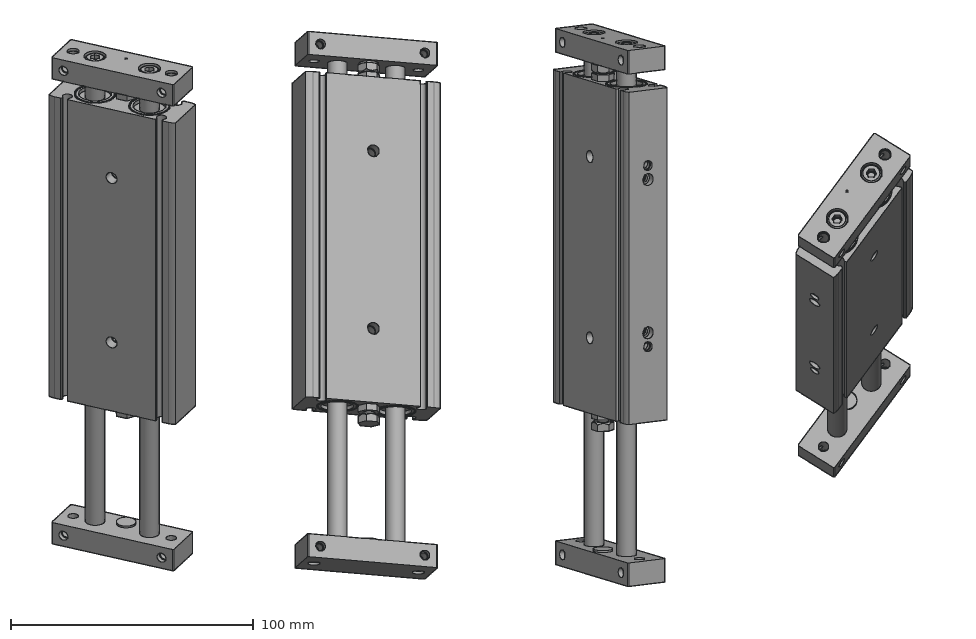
import cadquery as cq
import math

TOTAL_LENGTH = 225.0
PLATE_THICKNESS = 10.0
TOP_GAP = 7.5
HOUSING_LENGTH = 139.5

TOP_PLATE_Z = TOTAL_LENGTH - PLATE_THICKNESS
HOUSING_TOP_Z = TOP_PLATE_Z - TOP_GAP
HOUSING_BOTTOM_Z = HOUSING_TOP_Z - HOUSING_LENGTH
HOUSING_MID_Z = (HOUSING_TOP_Z + HOUSING_BOTTOM_Z) / 2

ROD_DIAMETER = 8.0
ROD_SPACING = 25.0
ROD_X = ROD_SPACING / 2
SCREW_SHANK_DIAMETER = 5.0
SCREW_HEAD_DIAMETER = 8.0
SCREW_HEAD_TOP_DIAMETER = 7.0
SCREW_HEAD_HEIGHT = 4.0
SCREW_HEAD_SUNK = 0.5
SOCKET_FLATS = 3.5
SOCKET_DEPTH = 2.0
SOCKET_DRILL_DIAMETER = 3.2
SOCKET_DRILL_DEPTH = 1.0
COUNTERBORE_DIAMETER = 9.0
COUNTERBORE_DEPTH = SCREW_HEAD_HEIGHT + SCREW_HEAD_SUNK

HOUSING_WIDTH = 58.0
HOUSING_DEPTH = 20.0
CORNER_WIDTH = 3.0
CORNER_DROP = 0.7
GROOVE_X = 21.5
GROOVE_WIDTH = 2.7
GROOVE_BORE_DIAMETER = 4.0
GROOVE_DEPTH = 4.7
GROOVE_LIP_CHAMFER = 0.5
ROD_RECESS_DIAMETER = 13.5
ROD_RECESS_DEPTH = 1.5
END_RING_OUTER_DIAMETER = 17.0
END_RING_INNER_DIAMETER = 16.0
END_RING_DEPTH = 0.5
MOUNT_HOLE_SPACING = 76.0
MOUNT_THREAD_DIAMETER = 5.0
MOUNT_CORE_DIAMETER = 4.3
MOUNT_THREAD_DEPTH = 5.0
PORT_OFFSET = 32.2
PORT_DIAMETER = 5.0
PORT_CORE_DIAMETER = 3.2
PORT_DEPTH = 3.0
PORT_CORE_DEPTH = 1.4
PORT_TIP_DIAMETER = 2.0
PORT_TIP_DEPTH = 1.1
SIDE_HOLE_DIAMETER = 4.0
SIDE_HOLE_DEPTH = 1.4
SIDE_HOLE_CORE_DIAMETER = 3.2
SIDE_HOLE_CORE_DEPTH = 3.0

PLATE_WIDTH = 56.0
PLATE_DEPTH = 18.2
PLATE_CHAMFER = 0.5
PLATE_HOLE_X = 22.5
CROSS_HOLE_DIAMETER = 4.0
CROSS_HOLE_CORE_DIAMETER = 3.2
CROSS_HOLE_MOUTH_DEPTH = 2.2
END_HOLE_DIAMETER = 5.0
END_HOLE_CORE_DIAMETER = 4.3
END_HOLE_MOUTH_DEPTH = 1.1
BUMPER_DIAMETER = 8.0
BUMPER_HEIGHT = 0.79
VENT_DIAMETER = 1.0

BOLT_Y = 3.5
BOLT_FLATS = 8.0
BOLT_SHANK_DIAMETER = 5.0
BOLT_EMBEDMENT = 9.0
NUT_HEIGHT = 2.7
HEAD_HEIGHT = 3.5
HEAD_SEAT_DIAMETER = 7.5
BOTTOM_BOLT_REACH = 7.5
TOP_BOLT_REACH = TOP_GAP - BUMPER_HEIGHT


def cylinder_z(diameter, height, x, y, z):
    return cq.Workplane("XY", origin=(x, y, z)).circle(diameter / 2).extrude(height)


def cylinder_y(diameter, length, x, y, z):
    return cq.Workplane("XZ", origin=(x, y, z)).circle(diameter / 2).extrude(-length)


def cylinder_x(diameter, length, x, y, z):
    return cq.Workplane("YZ", origin=(x, y, z)).circle(diameter / 2).extrude(length)


def hexagon_z(flats, height, x, y, z):
    """Hexagonal prism with two corners on the X axis."""
    corners = flats / math.cos(math.pi / 6)
    return cq.Workplane("XY", origin=(x, y, z)).polygon(6, corners).extrude(height)


def mirror_ends(body):
    """Copy of a housing-centred body, flipped end for end."""
    return body.mirror("XY", (0, 0, HOUSING_MID_Z))


def housing_profile():
    half_x = HOUSING_WIDTH / 2
    half_y = HOUSING_DEPTH / 2
    flat_x = half_x - CORNER_WIDTH
    side_y = half_y - CORNER_DROP
    radius = (CORNER_WIDTH**2 + CORNER_DROP**2) / (2 * CORNER_DROP)
    half_angle = math.asin(CORNER_WIDTH / radius) / 2
    mid_x = flat_x + radius * math.sin(half_angle)
    mid_y = half_y - radius * (1 - math.cos(half_angle))
    return (
        cq.Workplane("XY", origin=(0, 0, HOUSING_BOTTOM_Z))
        .moveTo(-flat_x, -half_y)
        .lineTo(flat_x, -half_y)
        .threePointArc((mid_x, -mid_y), (half_x, -side_y))
        .lineTo(half_x, side_y)
        .threePointArc((mid_x, mid_y), (flat_x, half_y))
        .lineTo(-flat_x, half_y)
        .threePointArc((-mid_x, mid_y), (-half_x, side_y))
        .lineTo(-half_x, -side_y)
        .threePointArc((-mid_x, -mid_y), (-flat_x, -half_y))
        .close()
    )


def sensor_groove(end, side):
    """Keyhole-shaped groove along the whole housing, near X = end and on the Y = side face."""
    face_y = side * HOUSING_DEPTH / 2
    bore_radius = GROOVE_BORE_DIAMETER / 2
    bore_y = face_y - side * (GROOVE_DEPTH - bore_radius)
    lip_y = face_y - side * GROOVE_LIP_CHAMFER
    inner_x = end * (GROOVE_X - GROOVE_WIDTH / 2)
    outer_x = end * (GROOVE_X + GROOVE_WIDTH / 2)
    mouth = (
        cq.Workplane("XY", origin=(0, 0, HOUSING_BOTTOM_Z))
        .moveTo(inner_x, face_y)
        .lineTo(inner_x, bore_y)
        .lineTo(outer_x, bore_y)
        .lineTo(outer_x, lip_y)
        .lineTo(outer_x + end * GROOVE_LIP_CHAMFER, face_y)
        .close()
        .extrude(HOUSING_LENGTH)
    )
    bore = cylinder_z(
        GROOVE_BORE_DIAMETER, HOUSING_LENGTH, end * GROOVE_X, bore_y, HOUSING_BOTTOM_Z
    )
    return mouth.union(bore)


def rod_end_recess(x):
    """Recess around a rod and the ring groove around it, at the top end of the housing."""
    recess_z = HOUSING_TOP_Z - ROD_RECESS_DEPTH
    ring_z = HOUSING_TOP_Z - END_RING_DEPTH
    recess = cylinder_z(ROD_RECESS_DIAMETER, ROD_RECESS_DEPTH, x, 0, recess_z)
    ring = cylinder_z(END_RING_OUTER_DIAMETER, END_RING_DEPTH, x, 0, ring_z).cut(
        cylinder_z(END_RING_INNER_DIAMETER, END_RING_DEPTH, x, 0, ring_z)
    )
    return recess.union(ring)


def mount_hole(z):
    """Through hole along Y with a wider thread at both mouths."""
    half_y = HOUSING_DEPTH / 2
    hole = cylinder_y(MOUNT_CORE_DIAMETER, HOUSING_DEPTH, 0, -half_y, z)
    for mouth_y in (-half_y, half_y - MOUNT_THREAD_DEPTH):
        hole = hole.union(cylinder_y(MOUNT_THREAD_DIAMETER, MOUNT_THREAD_DEPTH, 0, mouth_y, z))
    return hole


def air_port(z):
    """Stepped blind port in the -X side, ending in a cone."""
    side_x = -HOUSING_WIDTH / 2
    core_x = side_x + PORT_DEPTH
    tip_base = cq.Vector(core_x + PORT_CORE_DEPTH, 0, z)
    mouth = cylinder_x(PORT_DIAMETER, PORT_DEPTH, side_x, 0, z)
    core = cylinder_x(PORT_CORE_DIAMETER, PORT_CORE_DEPTH, core_x, 0, z)
    tip = cq.Solid.makeCone(
        PORT_TIP_DIAMETER / 2, 0, PORT_TIP_DEPTH, tip_base, cq.Vector(1, 0, 0)
    )
    return mouth.union(core).union(cq.Workplane(tip))


def side_hole(z):
    """Stepped blind hole in the -X side."""
    side_x = -HOUSING_WIDTH / 2
    mouth = cylinder_x(SIDE_HOLE_DIAMETER, SIDE_HOLE_DEPTH, side_x, 0, z)
    return mouth.union(cylinder_x(SIDE_HOLE_CORE_DIAMETER, SIDE_HOLE_CORE_DEPTH, side_x, 0, z))


def build_housing():
    housing = housing_profile().extrude(HOUSING_LENGTH)

    for end in (-1, 1):
        for side in (-1, 1):
            housing = housing.cut(sensor_groove(end, side))

    for x in (-ROD_X, ROD_X):
        recess = rod_end_recess(x)
        housing = housing.cut(recess).cut(mirror_ends(recess))
        housing = housing.cut(cylinder_z(ROD_DIAMETER, HOUSING_LENGTH, x, 0, HOUSING_BOTTOM_Z))

    bolt_hole = cylinder_z(
        BOLT_SHANK_DIAMETER, BOLT_EMBEDMENT, 0, BOLT_Y, HOUSING_TOP_Z - BOLT_EMBEDMENT
    )
    housing = housing.cut(bolt_hole).cut(mirror_ends(bolt_hole))

    for direction in (-1, 1):
        hole_z = HOUSING_MID_Z + direction * MOUNT_HOLE_SPACING / 2
        port_z = HOUSING_MID_Z + direction * PORT_OFFSET
        housing = housing.cut(mount_hole(hole_z)).cut(side_hole(hole_z)).cut(air_port(port_z))
    return housing


def build_plate():
    """End plate with its outer face at Z = PLATE_THICKNESS and its inner face at Z = 0."""
    plate = (
        cq.Workplane("XY")
        .rect(PLATE_WIDTH, PLATE_DEPTH)
        .extrude(PLATE_THICKNESS)
        .edges("|Z")
        .chamfer(PLATE_CHAMFER)
    )
    half_y = PLATE_DEPTH / 2
    mid_z = PLATE_THICKNESS / 2
    end_mouth_z = PLATE_THICKNESS - END_HOLE_MOUTH_DEPTH
    for x in (-PLATE_HOLE_X, PLATE_HOLE_X):
        plate = plate.cut(cylinder_z(END_HOLE_CORE_DIAMETER, PLATE_THICKNESS, x, 0, 0))
        plate = plate.cut(cylinder_z(END_HOLE_DIAMETER, END_HOLE_MOUTH_DEPTH, x, 0, end_mouth_z))
        plate = plate.cut(cylinder_y(CROSS_HOLE_CORE_DIAMETER, PLATE_DEPTH, x, -half_y, mid_z))
        for mouth_y in (-half_y, half_y - CROSS_HOLE_MOUTH_DEPTH):
            mouth = cylinder_y(CROSS_HOLE_DIAMETER, CROSS_HOLE_MOUTH_DEPTH, x, mouth_y, mid_z)
            plate = plate.cut(mouth)
    return plate.union(cylinder_z(BUMPER_DIAMETER, BUMPER_HEIGHT, 0, BOLT_Y, -BUMPER_HEIGHT))


def build_top_plate():
    plate = build_plate().translate((0, 0, TOP_PLATE_Z))
    vent_length = PLATE_THICKNESS + BUMPER_HEIGHT
    plate = plate.cut(cylinder_z(VENT_DIAMETER, vent_length, 0, BOLT_Y, TOP_PLATE_Z - BUMPER_HEIGHT))
    counterbore_z = TOTAL_LENGTH - COUNTERBORE_DEPTH
    for x in (-ROD_X, ROD_X):
        plate = plate.cut(cylinder_z(SCREW_SHANK_DIAMETER, PLATE_THICKNESS, x, 0, TOP_PLATE_Z))
        plate = plate.cut(cylinder_z(COUNTERBORE_DIAMETER, COUNTERBORE_DEPTH, x, 0, counterbore_z))
    return plate


def build_bottom_plate():
    return build_plate().mirror("XY").translate((0, 0, PLATE_THICKNESS))


def build_rod(x):
    """Rod between the plates, with a socket-head screw end through the top plate."""
    head_z = TOTAL_LENGTH - COUNTERBORE_DEPTH
    head_top_z = head_z + SCREW_HEAD_HEIGHT
    rod = cylinder_z(ROD_DIAMETER, TOP_PLATE_Z - PLATE_THICKNESS, x, 0, PLATE_THICKNESS)
    shank = cylinder_z(SCREW_SHANK_DIAMETER, head_z - TOP_PLATE_Z, x, 0, TOP_PLATE_Z)
    rim_chamfer = (SCREW_HEAD_DIAMETER - SCREW_HEAD_TOP_DIAMETER) / 2
    head = cylinder_z(SCREW_HEAD_DIAMETER, SCREW_HEAD_HEIGHT, x, 0, head_z)
    head = head.faces(">Z").chamfer(rim_chamfer)
    socket = hexagon_z(SOCKET_FLATS, SOCKET_DEPTH, x, 0, head_top_z - SOCKET_DEPTH)
    drill_z = head_top_z - SOCKET_DEPTH - SOCKET_DRILL_DEPTH
    drill = cylinder_z(SOCKET_DRILL_DIAMETER, SOCKET_DRILL_DEPTH, x, 0, drill_z)
    return rod.union(shank).union(head).cut(socket).cut(drill)


def build_stop_bolt(reach):
    """Hexagon bolt and its nut at the top end of the housing; the head ends at the given reach."""
    head_z = HOUSING_TOP_Z + reach - HEAD_HEIGHT
    shank_bottom_z = HOUSING_TOP_Z - BOLT_EMBEDMENT
    shank = cylinder_z(BOLT_SHANK_DIAMETER, head_z - shank_bottom_z, 0, BOLT_Y, shank_bottom_z)
    nut = hexagon_z(BOLT_FLATS, NUT_HEIGHT, 0, BOLT_Y, HOUSING_TOP_Z)
    seat_radius = HEAD_SEAT_DIAMETER / 2
    cone = cq.Solid.makeCone(
        seat_radius, seat_radius + HEAD_HEIGHT, HEAD_HEIGHT, cq.Vector(0, BOLT_Y, head_z)
    )
    head = hexagon_z(BOLT_FLATS, HEAD_HEIGHT, 0, BOLT_Y, head_z).intersect(cq.Workplane(cone))
    return shank.union(nut).union(head)


housing = build_housing()
top_plate = build_top_plate()
bottom_plate = build_bottom_plate()
rods = [build_rod(x) for x in (-ROD_X, ROD_X)]
top_stop_bolt = build_stop_bolt(TOP_BOLT_REACH)
bottom_stop_bolt = mirror_ends(build_stop_bolt(BOTTOM_BOLT_REACH))

result = cq.Compound.makeCompound(
    [
        housing.val(),
        top_plate.val(),
        bottom_plate.val(),
        *[rod.val() for rod in rods],
        top_stop_bolt.val(),
        bottom_stop_bolt.val(),
    ]
)